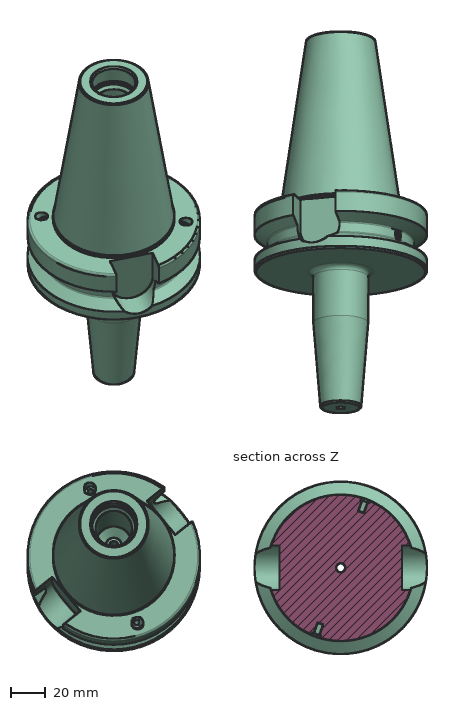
import cadquery as cq
import math

TOTAL_LENGTH = 221.8
GAUGE_Z = 120.0
COLLAR_TOP_Z = 119.3
FLANGE_TOP_Z = 117.0
FLANGE_BOTTOM_Z = 82.0

GAUGE_RADIUS = 69.9 / 2
TAPER_SLOPE = 7 / 24 / 2
TAPER_TOP_RADIUS = GAUGE_RADIUS - TAPER_SLOPE * (TOTAL_LENGTH - GAUGE_Z)
TAPER_CHAMFER = 0.7

COLLAR_RADIUS = 70.8 / 2
COLLAR_TAPER_RADIUS = GAUGE_RADIUS + TAPER_SLOPE * (GAUGE_Z - COLLAR_TOP_Z)
COLLAR_RELIEF_DEPTH = 0.5
COLLAR_RELIEF_HEIGHT = 0.9

FLANGE_RADIUS = 100.0 / 2
FLANGE_TOP_FILLET = 1.3
FLANGE_BOTTOM_CHAMFER = 1.0
GROOVE_RADIUS = 85.0 / 2
GROOVE_Z = 96.7
GROOVE_FLOOR_WIDTH = 6.5
GROOVE_FILLET = 0.9
GROOVE_FLANK_HEIGHT = (FLANGE_RADIUS - GROOVE_RADIUS) * math.tan(math.radians(30))
GROOVE_FLOOR_BOTTOM_Z = GROOVE_Z - GROOVE_FLOOR_WIDTH / 2
GROOVE_FLOOR_TOP_Z = GROOVE_Z + GROOVE_FLOOR_WIDTH / 2

NECK_RADIUS = 32.0 / 2
NECK_FILLET = 3.0
NOSE_CONE_TOP_Z = 51.2
TIP_RADIUS = 24.0 / 2
TIP_CHAMFER = 1.0

BORE_RADIUS = 25.0 / 2
BORE_MOUTH_RADIUS = 27.3 / 2
BORE_DEPTH = 10.6
BORE_RELIEF_RADIUS = 26.5 / 2
BORE_RELIEF_HEIGHT = 2.2
THREAD_BORE_RADIUS = 21.0 / 2
THREAD_BORE_DEPTH = 66.5
BORE_FLOOR_RADIUS = 9.0 / 2
DRILL_POINT_ANGLE = 118
THROUGH_HOLE_RADIUS = 5.0 / 2

SLOT_WIDTH = 25.7
SLOT_WALL_X = 35.5
SLOT_BOTTOM_Z = 86.0

COOLANT_ANGLES = (70, 250)
COOLANT_RADIUS = 42.0
COOLANT_TILT = 20
COOLANT_MOUTH_DIAMETER = 6.9
COOLANT_MOUTH_DEPTH = 3.5
COOLANT_DIAMETER = 3.3
GROOVE_HOLE_DIAMETER = 5.3
GROOVE_HOLE_DEPTH = 1.5


def groove_floor_edges():
    """Select the two circles where the groove floor meets its flanks."""
    reach = (GROOVE_RADIUS + FLANGE_RADIUS) / 2
    margin = GROOVE_FLANK_HEIGHT / 2
    return cq.selectors.BoxSelector(
        (-reach, -reach, GROOVE_FLOOR_BOTTOM_Z - margin),
        (reach, reach, GROOVE_FLOOR_TOP_Z + margin),
        boundingbox=True,
    )


def make_body():
    """Revolve the outer outline around Z."""
    outline = (
        cq.Workplane("XZ")
        .moveTo(0, 0)
        .lineTo(TIP_RADIUS - TIP_CHAMFER, 0)
        .lineTo(TIP_RADIUS, TIP_CHAMFER)
        .lineTo(NECK_RADIUS, NOSE_CONE_TOP_Z)
        .lineTo(NECK_RADIUS, FLANGE_BOTTOM_Z - NECK_FILLET)
        .radiusArc((NECK_RADIUS + NECK_FILLET, FLANGE_BOTTOM_Z), NECK_FILLET)
        .lineTo(FLANGE_RADIUS - FLANGE_BOTTOM_CHAMFER, FLANGE_BOTTOM_Z)
        .lineTo(FLANGE_RADIUS, FLANGE_BOTTOM_Z + FLANGE_BOTTOM_CHAMFER)
        .lineTo(FLANGE_RADIUS, GROOVE_FLOOR_BOTTOM_Z - GROOVE_FLANK_HEIGHT)
        .lineTo(GROOVE_RADIUS, GROOVE_FLOOR_BOTTOM_Z)
        .lineTo(GROOVE_RADIUS, GROOVE_FLOOR_TOP_Z)
        .lineTo(FLANGE_RADIUS, GROOVE_FLOOR_TOP_Z + GROOVE_FLANK_HEIGHT)
        .lineTo(FLANGE_RADIUS, FLANGE_TOP_Z - FLANGE_TOP_FILLET)
        .radiusArc((FLANGE_RADIUS - FLANGE_TOP_FILLET, FLANGE_TOP_Z), -FLANGE_TOP_FILLET)
        .lineTo(COLLAR_RADIUS - COLLAR_RELIEF_DEPTH, FLANGE_TOP_Z)
        .lineTo(COLLAR_RADIUS - COLLAR_RELIEF_DEPTH, FLANGE_TOP_Z + COLLAR_RELIEF_HEIGHT)
        .lineTo(COLLAR_RADIUS, FLANGE_TOP_Z + COLLAR_RELIEF_HEIGHT)
        .lineTo(COLLAR_RADIUS, COLLAR_TOP_Z)
        .lineTo(COLLAR_TAPER_RADIUS, COLLAR_TOP_Z)
        .lineTo(TAPER_TOP_RADIUS + TAPER_SLOPE * TAPER_CHAMFER, TOTAL_LENGTH - TAPER_CHAMFER)
        .lineTo(TAPER_TOP_RADIUS - TAPER_CHAMFER, TOTAL_LENGTH)
        .lineTo(0, TOTAL_LENGTH)
        .close()
    )
    body = outline.revolve(360, (0, 0, 0), (0, 1, 0))
    return body.edges(groove_floor_edges()).fillet(GROOVE_FILLET)


def make_bore():
    """Stepped central bore with a drill-point floor and a hole through the nose."""
    relief_top_z = TOTAL_LENGTH - BORE_DEPTH
    relief_bottom_z = relief_top_z - BORE_RELIEF_HEIGHT
    chamfer_bottom_z = relief_bottom_z - (BORE_RADIUS - THREAD_BORE_RADIUS)
    point_top_z = TOTAL_LENGTH - THREAD_BORE_DEPTH
    point_slope = math.tan(math.radians(DRILL_POINT_ANGLE / 2))
    floor_z = point_top_z - (THREAD_BORE_RADIUS - BORE_FLOOR_RADIUS) / point_slope
    outline = (
        cq.Workplane("XZ")
        .moveTo(0, 0)
        .lineTo(THROUGH_HOLE_RADIUS, 0)
        .lineTo(THROUGH_HOLE_RADIUS, floor_z)
        .lineTo(BORE_FLOOR_RADIUS, floor_z)
        .lineTo(THREAD_BORE_RADIUS, point_top_z)
        .lineTo(THREAD_BORE_RADIUS, chamfer_bottom_z)
        .lineTo(BORE_RADIUS, relief_bottom_z)
        .lineTo(BORE_RELIEF_RADIUS, relief_bottom_z)
        .lineTo(BORE_RELIEF_RADIUS, relief_top_z)
        .lineTo(BORE_RADIUS, relief_top_z)
        .lineTo(BORE_RADIUS, TOTAL_LENGTH - (BORE_MOUTH_RADIUS - BORE_RADIUS))
        .lineTo(BORE_MOUTH_RADIUS, TOTAL_LENGTH)
        .lineTo(0, TOTAL_LENGTH)
        .close()
    )
    return outline.revolve(360, (0, 0, 0), (0, 1, 0))


def make_drive_slot(side):
    """Round-bottomed slot running outward along X from its flat wall; side is -1 or +1."""
    slot_radius = SLOT_WIDTH / 2
    round_center_z = SLOT_BOTTOM_Z + slot_radius
    outline = (
        cq.Workplane("YZ", origin=(side * SLOT_WALL_X, 0, 0))
        .moveTo(-slot_radius, GAUGE_Z)
        .lineTo(-slot_radius, round_center_z)
        .threePointArc((0, SLOT_BOTTOM_Z), (slot_radius, round_center_z))
        .lineTo(slot_radius, GAUGE_Z)
        .close()
    )
    return outline.extrude(side * FLANGE_RADIUS)


def make_cylinder(start, direction, diameter, length):
    """Solid cylinder from a start point along a direction."""
    return cq.Workplane(cq.Solid.makeCylinder(diameter / 2, length, start, direction))


def make_coolant_holes(angle):
    """Slanted hole and the radial groove hole it meets, at an angle around Z."""
    tilt = math.radians(COOLANT_TILT)
    inward_down = cq.Vector(-math.sin(tilt), 0, -math.cos(tilt))
    mouth = cq.Vector(COOLANT_RADIUS, 0, FLANGE_TOP_Z)
    above_mouth = mouth - inward_down * COOLANT_MOUTH_DIAMETER
    slanted_length = (FLANGE_TOP_Z - GROOVE_Z) / math.cos(tilt)
    meeting_radius = COOLANT_RADIUS - slanted_length * math.sin(tilt)

    mouth_hole = make_cylinder(
        above_mouth, inward_down, COOLANT_MOUTH_DIAMETER, COOLANT_MOUTH_DIAMETER + COOLANT_MOUTH_DEPTH
    )
    slanted_hole = make_cylinder(mouth, inward_down, COOLANT_DIAMETER, slanted_length)
    outward = cq.Vector(1, 0, 0)
    meeting_point = cq.Vector(meeting_radius, 0, GROOVE_Z)
    radial_hole = make_cylinder(meeting_point, outward, COOLANT_DIAMETER, GROOVE_RADIUS - meeting_radius)
    groove_hole_floor = cq.Vector(GROOVE_RADIUS - GROOVE_HOLE_DEPTH, 0, GROOVE_Z)
    groove_hole = make_cylinder(groove_hole_floor, outward, GROOVE_HOLE_DIAMETER, 2 * GROOVE_HOLE_DEPTH)
    holes = mouth_hole.union(slanted_hole).union(radial_hole).union(groove_hole)
    return holes.rotate((0, 0, 0), (0, 0, 1), angle)


result = make_body().cut(make_bore())
for slot_side in (-1, 1):
    result = result.cut(make_drive_slot(slot_side))
for coolant_angle in COOLANT_ANGLES:
    result = result.cut(make_coolant_holes(coolant_angle))